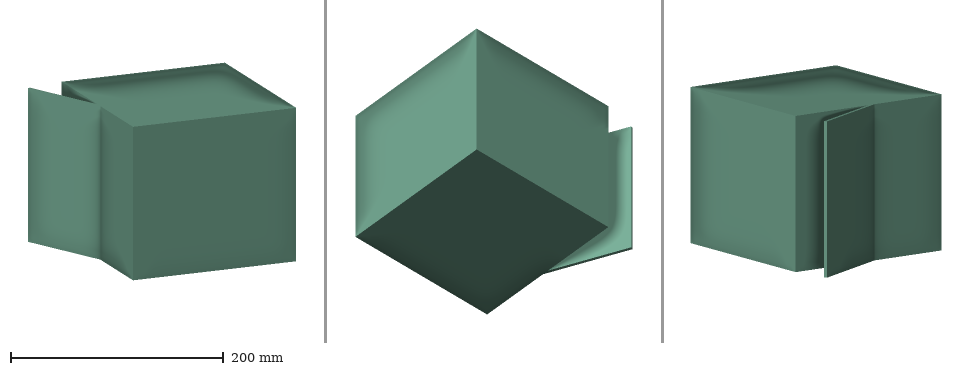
import cadquery as cq

width = 170.0
housing_depth = 167.0
height = 150.0

panel_thickness = 3.0
panel_angle = 24.63
panel_center_x = width / 2
panel_center_y = -panel_thickness / 2

base_depth = 110.0
base_thickness = 3.0


def make_panel():
    """Full-height flat panel, slanting out through the front face."""
    return (
        cq.Workplane("XY")
        .box(width, panel_thickness, height, centered=(True, True, False))
        .rotate((0, 0, 0), (0, 0, 1), panel_angle)
        .translate((panel_center_x, panel_center_y, 0))
    )


def make_base(panel):
    """Plate under the front of the housing, slotted for the panel."""
    plate = cq.Workplane("XY").box(width, base_depth, base_thickness, centered=False)
    return plate.cut(panel)


def make_housing(panel, base):
    """Solid block with a recess for the base plate and a slot for the panel."""
    block = cq.Workplane("XY").box(width, housing_depth, height, centered=False)
    return block.cut(base).cut(panel)


panel = make_panel()
base = make_base(panel)
housing = make_housing(panel, base)

result = cq.Compound.makeCompound([housing.val(), base.val(), panel.val()])